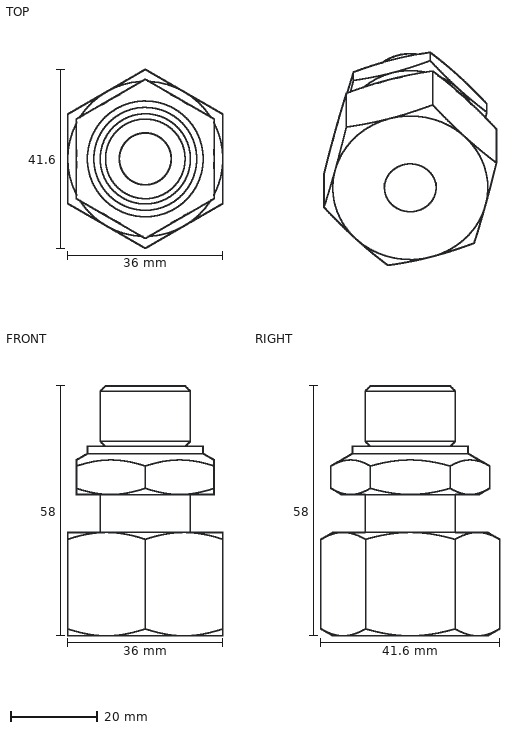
import cadquery as cq
import math

total_height = 58.0
bore_diameter = 12.0

nut_across_flats = 36.0
nut_height = 24.0

body_across_flats = 32.0
body_bottom = 32.8

flats_to_x_angle = 30.0
corner_margin = 1.0
hex_chamfer_angle = 30.0

stud_diameter = 20.95
stud_end_diameter = 18.5
stud_length = 14.0

collar_diameter = 26.9
collar_height = 1.7
seal_recess_diameter = 23.9
seal_recess_depth = 0.1

collar_top = total_height - stud_length
collar_bottom = collar_top - collar_height
recess_floor = collar_top - seal_recess_depth
stud_chamfer = (stud_diameter - stud_end_diameter) / 2
chamfer_slope = math.tan(math.radians(hex_chamfer_angle))


def cylinder(diameter, bottom, top):
    return cq.Workplane("XY").workplane(offset=bottom).circle(diameter / 2).extrude(top - bottom)


def chamfered_hexagon(across_flats, bottom, top, top_circle_diameter):
    """Hexagonal prism with flats facing +X and -X and conical corner chamfers at both ends."""
    corner_radius = across_flats / math.sqrt(3)
    prism = (
        cq.Workplane("XY")
        .workplane(offset=bottom)
        .polygon(6, 2 * corner_radius)
        .extrude(top - bottom)
        .rotate((0, 0, 0), (0, 0, 1), flats_to_x_angle)
    )
    outer_radius = corner_radius + corner_margin
    bottom_radius = across_flats / 2
    top_radius = top_circle_diameter / 2
    envelope = (
        cq.Workplane("XZ")
        .moveTo(0, bottom)
        .lineTo(bottom_radius, bottom)
        .lineTo(outer_radius, bottom + (outer_radius - bottom_radius) * chamfer_slope)
        .lineTo(outer_radius, top - (outer_radius - top_radius) * chamfer_slope)
        .lineTo(top_radius, top)
        .lineTo(0, top)
        .close()
        .revolve(360, (0, 0, 0), (0, 1, 0))
    )
    return prism.intersect(envelope)


def threaded_stud():
    """Plain stud with a 45 degree chamfer at each end."""
    stud = cylinder(stud_diameter, recess_floor, total_height)
    return stud.faces("<Z or >Z").chamfer(stud_chamfer)


nut = chamfered_hexagon(nut_across_flats, 0, nut_height, nut_across_flats)
neck = cylinder(stud_diameter, nut_height, body_bottom)
body_hexagon = chamfered_hexagon(body_across_flats, body_bottom, collar_bottom, collar_diameter)
collar = cylinder(collar_diameter, collar_bottom, collar_top)
seal_recess = cylinder(seal_recess_diameter, recess_floor, collar_top)
bore = cylinder(bore_diameter, 0, total_height)

result = (
    nut.union(neck)
    .union(body_hexagon)
    .union(collar.cut(seal_recess))
    .union(threaded_stud())
    .cut(bore)
)